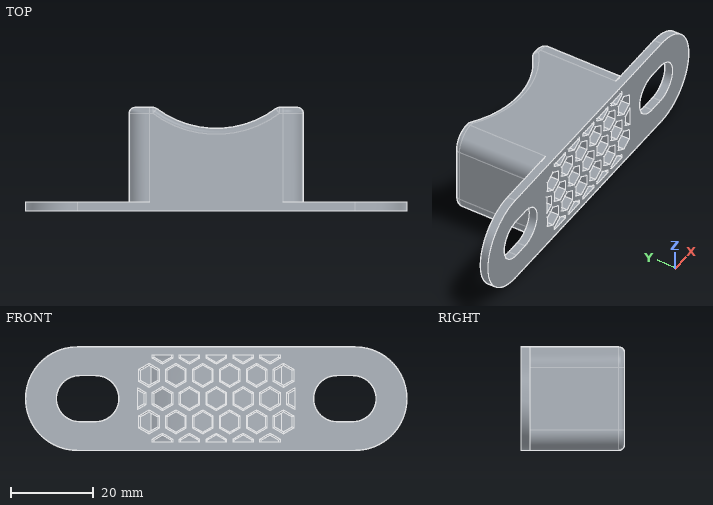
import cadquery as cq
import math

plate_length = 92.0
plate_height = 25.0
plate_thickness = 2.2
slot_length = 15.0
slot_height = 11.0
slot_offset = 31.0

block_length = 42.0
block_depth = 25.0
corner_radius = 5.0
saddle_radius = 24.0
saddle_sag = 5.1
end_fillet = 1.5

wall = 2.0
saddle_wall = 2.2
hex_width = 5.0
pocket_taper = 1.0
row_pitch = 5.6
hex_pitch = row_pitch * 2 / math.sqrt(3)
hexes_per_row = {-2: 5, -1: 6, 0: 7, 1: 6, 2: 5}

saddle_axis_y = block_depth - saddle_sag + saddle_radius


def extrude_back(sketch, depth):
    """Extrude an XZ sketch towards +Y."""
    return sketch.extrude(-depth)


def saddle_cylinder(radius):
    """Cylinder along Z that hollows the back of the block."""
    return (
        cq.Workplane("XY", origin=(0, saddle_axis_y, -plate_height))
        .circle(radius)
        .extrude(2 * plate_height)
    )


def make_plate():
    outline = cq.Workplane("XZ").slot2D(plate_length, plate_height)
    plate = extrude_back(outline, plate_thickness)
    slots = (
        cq.Workplane("XZ")
        .pushPoints([(-slot_offset, 0), (slot_offset, 0)])
        .slot2D(slot_length, slot_height)
    )
    return plate.cut(extrude_back(slots, plate_thickness))


def make_block():
    block = extrude_back(cq.Workplane("XZ").rect(block_length, plate_height), block_depth)
    block = block.edges("|Y").fillet(corner_radius)
    block = block.cut(saddle_cylinder(saddle_radius))
    tip_and_saddle_edges = block.faces("not(<Y)").edges("not(|Y)").edges("not(<Y)")
    return tip_and_saddle_edges.fillet(end_fillet)


def make_pockets():
    """Hexagonal pockets whose floors follow the back of the block."""
    envelope_outline = cq.Workplane("XZ").rect(block_length - 2 * wall, plate_height - 2 * wall)
    envelope = extrude_back(envelope_outline, block_depth - wall)
    envelope = envelope.edges("|Y").fillet(corner_radius - wall)
    envelope = envelope.cut(saddle_cylinder(saddle_radius + saddle_wall))
    centres = [
        ((column - (count - 1) / 2) * hex_pitch, row * row_pitch)
        for row, count in hexes_per_row.items()
        for column in range(count)
    ]
    corner_distance = hex_width / math.sqrt(3)
    hexagon = cq.Sketch().regularPolygon(corner_distance, 6)
    hexagons = cq.Workplane("XZ").pushPoints(centres).placeSketch(hexagon)
    return hexagons.extrude(-block_depth, taper=pocket_taper).intersect(envelope)


result = make_plate().union(make_block()).cut(make_pockets())